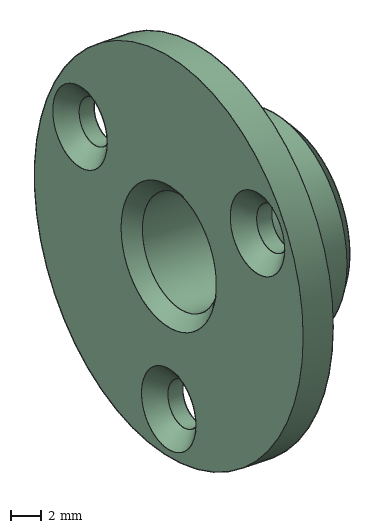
import cadquery as cq

flange_diameter = 29.7
flange_thickness = 2.5

total_depth = 9.8
boss_diameter = 15.9
edge_chamfer = 1.0

bore_diameter = 8.5

screw_count = 3
screw_circle_radius = 11.32
screw_diameter = 3.5
countersink_diameter = 6.0
countersink_angle = 90.0
first_screw_angle = -90.0


def make_body():
    """Flange with the boss, chamfered around its rear edge."""
    flange = cq.Workplane("XZ").circle(flange_diameter / 2).extrude(-flange_thickness)
    boss = cq.Workplane("XZ").circle(boss_diameter / 2).extrude(-total_depth)
    return flange.union(boss.faces(">Y").edges().chamfer(edge_chamfer))


def cut_bore(body):
    """Through bore with a chamfered mouth in the front face."""
    mouth_diameter = bore_diameter + 2 * edge_chamfer
    mouth_angle = 90.0
    return body.faces("<Y").workplane(origin=(0, 0, 0)).cskHole(bore_diameter, mouth_diameter, mouth_angle)


def cut_screw_holes(body):
    """Equally spaced countersunk holes through the flange."""
    return (
        body.faces("<Y")
        .workplane(origin=(0, 0, 0))
        .polarArray(screw_circle_radius, first_screw_angle, 360, screw_count)
        .cskHole(screw_diameter, countersink_diameter, countersink_angle)
    )


result = cut_screw_holes(cut_bore(make_body()))